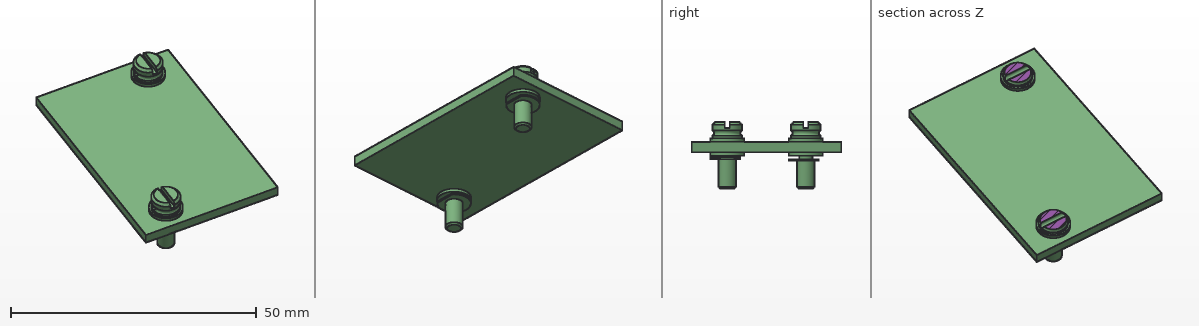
import cadquery as cq

plate_length = 47.2
plate_width = 30.5
plate_thickness = 2.12
screw_spacing_x = 37.4
screw_spacing_y = 16.0

flange_radius = 3.5
flange_height = 0.7

head_radius = 3.0
head_top = 6.2
head_chamfer = 0.55
groove_top = 4.5
groove_bottom = 3.35
groove_depth = 0.3
slot_width = 1.0
slot_depth = 1.2
wire_hole_diameter = 1.15

neck_radius = 1.35
shank_radius = 1.8
shoulder_z = -1.35
shank_bottom = -7.35
shank_chamfer = 0.4

washer_radius = 3.45
washer_thickness = 0.35
washer_flat_distance = 2.65

groove_middle = (groove_top + groove_bottom) / 2


def make_plate():
    """Rectangular plate with its underside at Z = 0."""
    return cq.Workplane("XY").box(
        plate_length, plate_width, plate_thickness, centered=(True, True, False)
    )


def make_bushing():
    """Round bushing through the plate, standing proud as a flange on both faces."""
    height = plate_thickness + 2 * flange_height
    return cq.Workplane("XY").workplane(offset=-flange_height).circle(flange_radius).extrude(height)


def make_screw():
    """Screw turned about Z, then slotted along X and cross-drilled along Y."""
    screw = (
        cq.Workplane("XZ")
        .moveTo(0, shank_bottom)
        .lineTo(shank_radius - shank_chamfer, shank_bottom)
        .lineTo(shank_radius, shank_bottom + shank_chamfer)
        .lineTo(shank_radius, shoulder_z)
        .lineTo(neck_radius, shoulder_z)
        .lineTo(neck_radius, plate_thickness)
        .lineTo(head_radius, plate_thickness)
        .lineTo(head_radius, groove_bottom)
        .threePointArc((head_radius - groove_depth, groove_middle), (head_radius, groove_top))
        .lineTo(head_radius, head_top - head_chamfer)
        .lineTo(head_radius - head_chamfer, head_top)
        .lineTo(0, head_top)
        .close()
        .revolve(360, (0, 0, 0), (0, 1, 0))
    )
    slot = (
        cq.Workplane("XY")
        .workplane(offset=head_top - slot_depth)
        .rect(2 * head_radius, slot_width)
        .extrude(slot_depth)
    )
    wire_hole = (
        cq.Workplane("XZ")
        .center(0, groove_middle)
        .circle(wire_hole_diameter / 2)
        .extrude(head_radius, both=True)
    )
    return screw.cut(slot).cut(wire_hole)


def make_washer(bottom_z):
    """Thin disc trimmed by a flat on its +Y side."""
    level = cq.Workplane("XY").workplane(offset=bottom_z)
    disc = level.circle(washer_radius).extrude(washer_thickness)
    keep_depth = washer_radius + washer_flat_distance
    keep = (
        level.center(0, washer_flat_distance - keep_depth / 2)
        .rect(2 * washer_radius, keep_depth)
        .extrude(washer_thickness)
    )
    return disc.intersect(keep)


fasteners = [
    (-screw_spacing_x / 2, screw_spacing_y / 2, shoulder_z - washer_thickness),
    (screw_spacing_x / 2, -screw_spacing_y / 2, shoulder_z),
]

result = make_plate()
for x, y, washer_bottom in fasteners:
    fastener = make_bushing().union(make_screw()).union(make_washer(washer_bottom))
    result = result.union(fastener.translate((x, y, 0)))